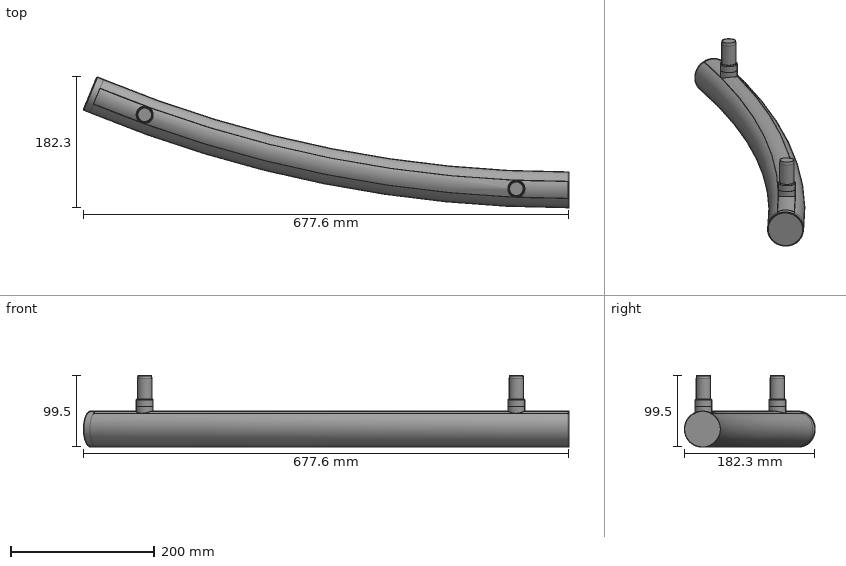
import cadquery as cq
import math

BAR_RADIUS = 25.0
BEND_RADIUS = 1717.5
BEND_ANGLE = 22.5
LEFT_END_LENGTH = 10.0
LEFT_END_CHAMFER = 1.0
RIGHT_END_LENGTH = 1.9

STRIP_WIDTH = 24.0
STRIP_DEPTH = 8.0

BOSS_RADIUS = STRIP_WIDTH / 2
BOSS_TOP = 32.0
STUD_INSET = 72.0

COLLAR_TOP = 42.0
COLLAR_CHAMFER = 1.5
SHANK_RADIUS = 10.0
SHANK_TOP = 74.5
TIP_LENGTH = 4.0
TIP_TAPER = 1.0

STRIP_FLOOR = BAR_RADIUS - STRIP_DEPTH
INSET_ANGLE = math.degrees(STUD_INSET / BEND_RADIUS)
STUD_ANGLES = (INSET_ANGLE, BEND_ANGLE - INSET_ANGLE)


def place_on_arc(shape, angle):
    """Swing a shape from the start of the arc to the given angle along it."""
    centre = (0, BEND_RADIUS, 0)
    axis_end = (0, BEND_RADIUS, 1)
    return shape.rotate(centre, axis_end, -angle)


def sweep_along_arc(profile):
    """Revolve a profile drawn on the YZ plane through the whole bend."""
    return profile.revolve(BEND_ANGLE, (BEND_RADIUS, 0), (BEND_RADIUS, -1))


def make_round_arc():
    return sweep_along_arc(cq.Workplane("YZ").circle(BAR_RADIUS))


def make_channel():
    """Square-sided channel, open at the top of the bar."""
    profile = cq.Workplane("YZ").moveTo(0, BAR_RADIUS).rect(STRIP_WIDTH, 2 * STRIP_DEPTH)
    return sweep_along_arc(profile)


def make_bar():
    """Bent rod with the channel cut out and a straight plug on each end, the left one chamfered."""
    right_end = cq.Workplane("YZ").circle(BAR_RADIUS).extrude(RIGHT_END_LENGTH)
    left_end = cq.Workplane("YZ").circle(BAR_RADIUS).extrude(-LEFT_END_LENGTH)
    left_end = left_end.faces("<X").chamfer(LEFT_END_CHAMFER)
    grooved_arc = make_round_arc().cut(make_channel())
    return grooved_arc.union(right_end).union(place_on_arc(left_end, BEND_ANGLE))


def make_strip():
    """Strip filling the channel, with a boss rising from it under each stud."""
    strip = make_round_arc().intersect(make_channel())
    boss_height = BOSS_TOP - STRIP_FLOOR
    boss = cq.Workplane("XY").workplane(offset=STRIP_FLOOR).circle(BOSS_RADIUS).extrude(boss_height)
    for angle in STUD_ANGLES:
        strip = strip.union(place_on_arc(boss, angle))
    return strip


def make_stud(angle):
    """Turned stud standing on a boss: collar, shank and slightly tapered tip."""
    half_outline = (
        cq.Workplane("XZ")
        .moveTo(0, BOSS_TOP)
        .lineTo(BOSS_RADIUS, BOSS_TOP)
        .lineTo(BOSS_RADIUS, COLLAR_TOP - COLLAR_CHAMFER)
        .lineTo(BOSS_RADIUS - COLLAR_CHAMFER, COLLAR_TOP)
        .lineTo(SHANK_RADIUS, COLLAR_TOP)
        .lineTo(SHANK_RADIUS, SHANK_TOP - TIP_LENGTH)
        .lineTo(SHANK_RADIUS - TIP_TAPER, SHANK_TOP)
        .lineTo(0, SHANK_TOP)
        .close()
    )
    stud = half_outline.revolve(360, (0, 0, 0), (0, 1, 0))
    return place_on_arc(stud, angle)


bar = make_bar()
strip = make_strip()
studs = [make_stud(angle).val() for angle in STUD_ANGLES]

result = cq.Compound.makeCompound([bar.val(), strip.val(), *studs])